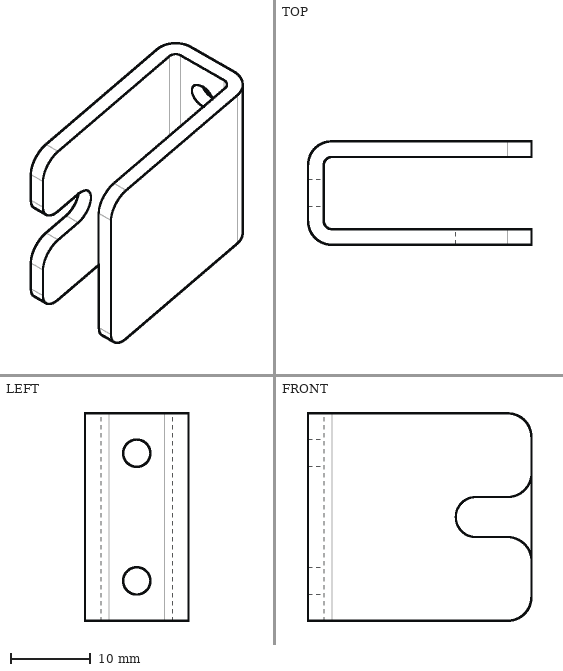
import cadquery as cq

length = 28.0
width = 13.0
height = 26.0
thickness = 2.0

bend_radius = 3.0
inner_bend_radius = bend_radius - thickness

corner_radius = 3.0

slot_depth = 9.5
slot_width = 5.0

hole_diameter = 3.4
hole_spacing = 16.0


def bent_channel():
    """U-shaped channel, web at X = 0, centred on Y and Z."""
    outer = (
        cq.Workplane("XY")
        .box(length, width, height, centered=(False, True, True))
        .edges("|Z and <X")
        .fillet(bend_radius)
    )
    cavity = (
        cq.Workplane("XY")
        .box(length, width - 2 * thickness, height, centered=(False, True, True))
        .edges("|Z and <X")
        .fillet(inner_bend_radius)
        .translate((thickness, 0, 0))
    )
    channel = outer.cut(cavity)
    return channel.edges("|Y and >X").fillet(corner_radius)


def wall_slot():
    """Round-ended slot whose mouth flares out tangentially to the end face."""
    half_width = slot_width / 2
    bottom_x = length - slot_depth
    flare_start_x = length - corner_radius
    mouth_half_width = half_width + corner_radius
    return (
        cq.Workplane("XZ")
        .moveTo(length, mouth_half_width)
        .radiusArc((flare_start_x, half_width), corner_radius)
        .lineTo(bottom_x + half_width, half_width)
        .threePointArc((bottom_x, 0), (bottom_x + half_width, -half_width))
        .lineTo(flare_start_x, -half_width)
        .radiusArc((length, -mouth_half_width), corner_radius)
        .close()
        .extrude(width / 2)
    )


def web_holes():
    """Two holes along X, one above the other."""
    return (
        cq.Workplane("YZ")
        .pushPoints([(0, -hole_spacing / 2), (0, hole_spacing / 2)])
        .circle(hole_diameter / 2)
        .extrude(thickness)
    )


result = bent_channel().cut(wall_slot()).cut(web_holes())